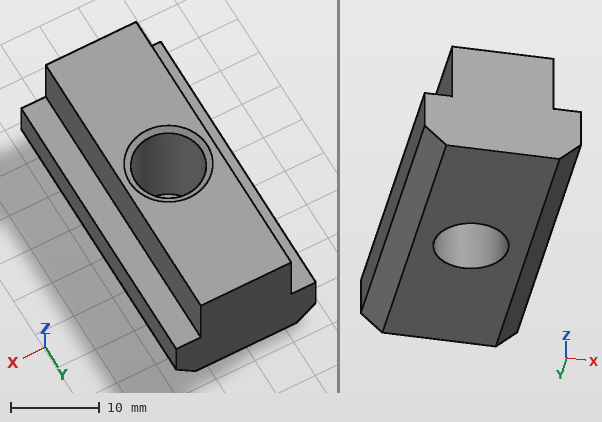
import cadquery as cq

length = 36.0
base_width = 18.0
height = 14.0

neck_width = 11.65
base_height = 7.0
bevel_width = 2.5
bevel_height = 2.38

hole_diameter = 8.5
countersink_diameter = 10.0
countersink_depth = 0.45


def make_body():
    """T-shaped bar along Y, centred on X and Y, with its underside at Z = 0."""
    half_base = base_width / 2
    half_neck = neck_width / 2
    right_side = [
        (half_base - bevel_width, 0),
        (half_base, bevel_height),
        (half_base, base_height),
        (half_neck, base_height),
        (half_neck, height),
    ]
    left_side = [(-x, z) for x, z in reversed(right_side)]
    profile = cq.Workplane("XZ").polyline(right_side + left_side).close()
    return profile.extrude(length / 2, both=True)


def make_hole():
    """Vertical through hole with a conical countersink at the top face."""
    hole_radius = hole_diameter / 2
    half_profile = [
        (0, 0),
        (hole_radius, 0),
        (hole_radius, height - countersink_depth),
        (countersink_diameter / 2, height),
        (0, height),
    ]
    return cq.Workplane("XZ").polyline(half_profile).close().revolve(360, (0, 0), (0, 1))


result = make_body().cut(make_hole())